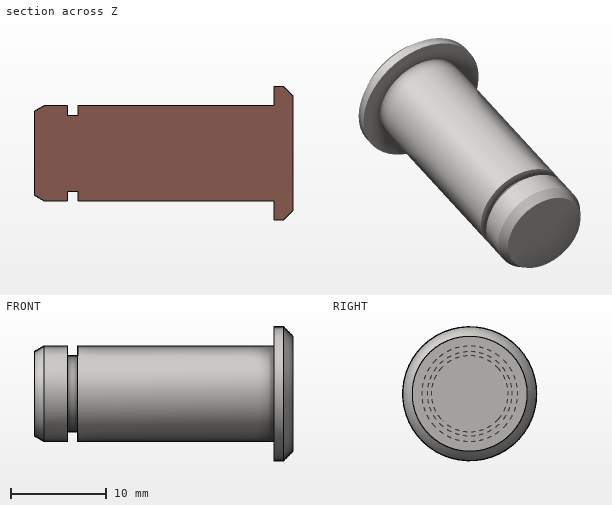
import cadquery as cq
import math

length = 27.0
shaft_diameter = 10.0
groove_diameter = 8.0
head_diameter = 14.0

head_thickness = 2.0
head_chamfer = head_thickness / 2

nose_length = 1.0
nose_angle = 30.0
nose_drop = nose_length * math.tan(math.radians(nose_angle))

groove_start = 3.45
groove_width = 1.05


def cylinder(diameter, start, width):
    """Solid cylinder along X, beginning at x = start."""
    return cq.Workplane("YZ", origin=(start, 0, 0)).circle(diameter / 2).extrude(width)


shaft = cylinder(shaft_diameter, 0, length)
shaft = shaft.faces("<X").edges().chamfer(nose_length, nose_drop)

groove_ring = cylinder(shaft_diameter, groove_start, groove_width).cut(
    cylinder(groove_diameter, groove_start, groove_width)
)

head = cylinder(head_diameter, length - head_thickness, head_thickness)
head = head.faces(">X").edges().chamfer(head_chamfer)

result = shaft.cut(groove_ring).union(head).translate((-length / 2, 0, 0))